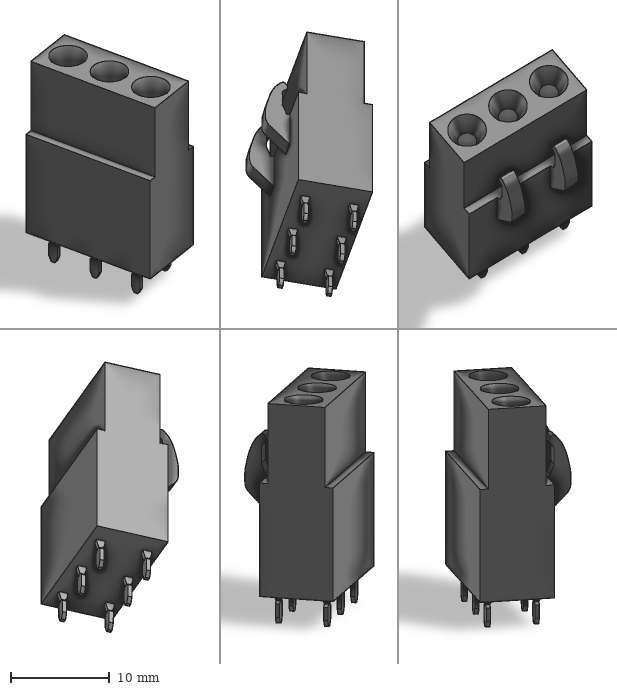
import cadquery as cq

positions = 3
pitch = 5.08
row_spacing = 5.08
column_x = [(i - (positions - 1) / 2) * pitch for i in range(positions)]
row_y = [-row_spacing / 2, row_spacing / 2]

housing_length = positions * pitch
base_front = -3.88
base_back = 3.86
base_depth = base_back - base_front
base_centre_y = (base_front + base_back) / 2
base_height = 11.85
tower_centre_y = -0.02
tower_depth = 6.0
housing_height = 20.2
tower_height = housing_height - base_height

funnel_centre_y = -0.06
funnel_mouth_diameter = 3.9
funnel_floor_diameter = 1.95
funnel_depth = 2.0

hook_width = 1.58
hook_spacing = 6.6
hook_reach = 2.54
hook_root_drop = 4.05
hook_ramp_rise = 2.1
hook_belly_bottom = -0.9
hook_belly_top = 0.0
hook_gap = 0.79
hook_gap_top = 2.77
hook_gap_bottom = 1.19
hook_foot = 0.28
hook_embed = 0.5

hook_outer_side = [(2.43, 0.85), (1.93, 2.7), (1.21, 3.87)]
hook_tip_start = (0.89, 4.17)
hook_tip_top = (0.69, 4.25)
hook_tip_shoulder = (0.46, 4.15)
hook_nose_upper = (0.31, 3.88)
hook_nose = (0.25, 3.6)
hook_nose_lower = (0.32, 3.4)
hook_nose_end = (0.5, 3.25)
hook_throat = (0.71, 3.05)
hook_foot_start = (0.38, 0.12)
hook_foot_round = (0.345, 0.03)

pin_length = 3.25
pin_thickness = 0.45
pin_root_depth = 0.94
pin_root_length = 0.9
pin_root_bulge = (0.38, -0.5)
pin_neck_width = 0.5
pin_blade_width = 1.08
pin_shoulder_end = 1.18
pin_blade_end = 2.57
pin_tip_start = 2.97
pin_tip_start_width = 0.72
pin_tip_width = 0.42


def make_hook(centre_x):
    """Latch hook: outline in (distance behind the back face, height above the base), extruded along X."""
    outline = (
        cq.Workplane("YZ", origin=(centre_x, base_back, base_height))
        .moveTo(-hook_embed, -hook_root_drop)
        .lineTo(0, -hook_root_drop)
        .lineTo(hook_ramp_rise, hook_ramp_rise - hook_root_drop)
        .tangentArcPoint((hook_reach, hook_belly_bottom), relative=False)
        .lineTo(hook_reach, hook_belly_top)
        .spline(hook_outer_side, tangents=[(0, 1), (-1, 1)], includeCurrent=True)
        .lineTo(*hook_tip_start)
        .threePointArc(hook_tip_top, hook_tip_shoulder)
        .threePointArc(hook_nose_upper, hook_nose)
        .threePointArc(hook_nose_lower, hook_nose_end)
        .threePointArc(hook_throat, (hook_gap, hook_gap_top))
        .lineTo(hook_gap, hook_gap_bottom)
        .lineTo(*hook_foot_start)
        .threePointArc(hook_foot_round, (hook_foot, 0))
        .lineTo(-hook_embed, 0)
        .close()
    )
    return outline.extrude(hook_width / 2, both=True)


def make_funnel(centre_x):
    """Cone removed from the top of the tower, with a flat floor."""
    return (
        cq.Workplane("XY", origin=(centre_x, funnel_centre_y, housing_height))
        .circle(funnel_mouth_diameter / 2)
        .workplane(offset=-funnel_depth)
        .circle(funnel_floor_diameter / 2)
        .loft(ruled=True)
    )


def make_housing():
    """Base and tower with the two latch hooks and the wire entries."""
    base = (
        cq.Workplane("XY", origin=(0, base_centre_y, 0))
        .box(housing_length, base_depth, base_height, centered=(True, True, False))
    )
    tower = (
        cq.Workplane("XY", origin=(0, tower_centre_y, base_height))
        .box(housing_length, tower_depth, tower_height, centered=(True, True, False))
    )
    body = base.union(tower)
    for hook_x in (-hook_spacing / 2, hook_spacing / 2):
        body = body.union(make_hook(hook_x))
    for funnel_x in column_x:
        body = body.cut(make_funnel(funnel_x))
    return body


def make_pin(centre_x, centre_y):
    """Flat solder pin touching the housing underside: front outline trimmed by the side outline."""
    front_outline = (
        cq.Workplane("XZ", origin=(centre_x, centre_y, 0))
        .lineTo(pin_neck_width / 2, 0)
        .lineTo(pin_neck_width / 2, -pin_root_length)
        .lineTo(pin_blade_width / 2, -pin_shoulder_end)
        .lineTo(pin_blade_width / 2, -pin_blade_end)
        .lineTo(pin_tip_start_width / 2, -pin_tip_start)
        .tangentArcPoint((pin_tip_width / 2, -pin_length), relative=False)
        .lineTo(0, -pin_length)
        .mirrorY()
        .extrude(pin_root_depth / 2, both=True)
    )
    side_outline = (
        cq.Workplane("YZ", origin=(centre_x, centre_y, 0))
        .lineTo(pin_root_depth / 2, 0)
        .threePointArc(pin_root_bulge, (pin_thickness / 2, -pin_root_length))
        .lineTo(pin_thickness / 2, -pin_length)
        .lineTo(0, -pin_length)
        .mirrorY()
        .extrude(pin_blade_width / 2, both=True)
    )
    return front_outline.intersect(side_outline)


housing = make_housing()
pins = [make_pin(x, y) for x in column_x for y in row_y]

result = cq.Compound.makeCompound([housing.val(), *[pin.val() for pin in pins]])